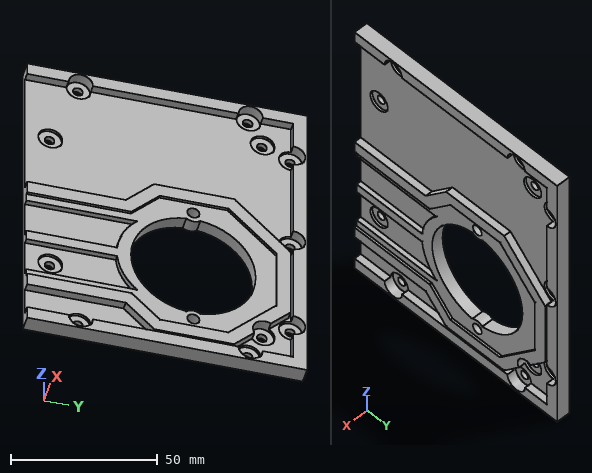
import math

import cadquery as cq

THICKNESS = 6.0
WIDTH = 99.0
HEIGHT = 120.0
WALL = 5.0
POCKET_FLOOR = 3.0
SEAT_FLOOR = 5.0

MOTOR_Y = WIDTH - 40.0
MOTOR_Z = 40.0
MOTOR_OPENING_DIAMETER = 44.0
MOTOR_SCREW_OFFSET = 25.0
MOTOR_SCREW_DIAMETER = 4.3
MOTOR_LUG_DIAMETER = 8.0

SEAT_APOTHEM = 29.2
HOUSING_APOTHEM = SEAT_APOTHEM + WALL
SEAT_CHANNEL_HALF_HEIGHT = 19.2
CHANNEL_HALF_HEIGHT = SEAT_CHANNEL_HALF_HEIGHT + WALL

SLOT_LEDGE = 3.0
RIB_WIDTH = 4.0
SLOT_END_RADIUS = MOTOR_OPENING_DIAMETER / 2
SLOT_END_CENTRE_Y = MOTOR_Y - WALL

SCREW_DIAMETER = 3.4
COUNTERBORE_DIAMETER = 8.5
COUNTERBORE_FLOOR = 2.0
TOP_Z = HEIGHT - WALL
LEFT_Y = WIDTH - WALL
FREE_SIDE_Y = 9.0
FREE_SIDE_UPPER_Z = 89.5
FREE_SIDE_LOWER_Z = HEIGHT - FREE_SIDE_UPPER_Z
PLATE_SCREWS = [
    (WIDTH - 20.0, TOP_Z),
    (WIDTH - 80.0, TOP_Z),
    (WIDTH - 15.0, 105.0),
    (LEFT_Y, 100.0),
    (LEFT_Y, 60.0),
    (LEFT_Y, 20.0),
    (WIDTH - 15.0, 15.0),
    (WIDTH - 20.0, WALL),
    (WIDTH - 80.0, WALL),
    (FREE_SIDE_Y, FREE_SIDE_UPPER_Z),
    (FREE_SIDE_Y, FREE_SIDE_LOWER_Z),
]
MOTOR_SCREWS = [
    (MOTOR_Y, MOTOR_Z - MOTOR_SCREW_OFFSET),
    (MOTOR_Y, MOTOR_Z + MOTOR_SCREW_OFFSET),
]


def block(x_range, y_range, z_range):
    """Axis-aligned box spanning the given ranges."""
    spans = (x_range, y_range, z_range)
    sizes = [end - start for start, end in spans]
    corner = cq.Vector(*[start for start, _ in spans])
    return cq.Workplane("XY").box(*sizes, centered=False).translate(corner)


def cylinders(points, diameter, x_start, x_end):
    """Cylinders along X at the given (y, z) points."""
    plane = cq.Workplane("YZ", origin=(x_start, 0, 0))
    return plane.pushPoints(points).circle(diameter / 2).extrude(x_end - x_start)


def motor_octagon(apothem, x_start):
    """Regular octagonal prism around the motor axis, running from x_start to the +X face."""
    eighth_turn = math.pi / 4
    radius = apothem / math.cos(eighth_turn / 2)
    angles = [eighth_turn * (index + 0.5) for index in range(8)]
    corners = [(radius * math.cos(angle), radius * math.sin(angle)) for angle in angles]
    plane = cq.Workplane("YZ", origin=(x_start, MOTOR_Y, MOTOR_Z))
    return plane.polyline(corners).close().extrude(THICKNESS - x_start)


def channel(half_height, x_start, x_end):
    """Straight passage from the -Y edge to the motor axis."""
    return block((x_start, x_end), (0, MOTOR_Y), (MOTOR_Z - half_height, MOTOR_Z + half_height))


def main_pocket():
    """Pocket inside the rim, open at the -Y edge, leaving the motor housing and channel standing."""
    pocket = block((POCKET_FLOOR, THICKNESS), (0, LEFT_Y), (WALL, TOP_Z))
    housing = motor_octagon(HOUSING_APOTHEM, POCKET_FLOOR)
    return pocket.cut(housing).cut(channel(CHANNEL_HALF_HEIGHT, POCKET_FLOOR, THICKNESS))


def motor_seat():
    """Shallow seat inside the housing and along the channel."""
    seat = motor_octagon(SEAT_APOTHEM, SEAT_FLOOR)
    return seat.union(channel(SEAT_CHANNEL_HALF_HEIGHT, SEAT_FLOOR, THICKNESS))


def channel_slots():
    """Pair of deep slots either side of the rib, ending on the rounded wall."""
    half_height = SEAT_CHANNEL_HALF_HEIGHT - SLOT_LEDGE
    z_range = (MOTOR_Z - half_height, MOTOR_Z + half_height)
    slots = block((POCKET_FLOOR, SEAT_FLOOR), (0, SLOT_END_CENTRE_Y), z_range)
    end_wall = cylinders([(SLOT_END_CENTRE_Y, MOTOR_Z)], 2 * SLOT_END_RADIUS, POCKET_FLOOR, SEAT_FLOOR)
    rib = channel(RIB_WIDTH / 2, POCKET_FLOOR, SEAT_FLOOR)
    return slots.cut(end_wall).cut(rib)


def motor_opening():
    """Round opening through the plate, notched by the lugs of the two motor screws."""
    opening = cylinders([(MOTOR_Y, MOTOR_Z)], MOTOR_OPENING_DIAMETER, 0, THICKNESS)
    return opening.cut(cylinders(MOTOR_SCREWS, MOTOR_LUG_DIAMETER, 0, SEAT_FLOOR))


plate = block((0, THICKNESS), (0, WIDTH), (0, HEIGHT))
plate = plate.cut(main_pocket())
plate = plate.cut(motor_seat())
plate = plate.cut(channel_slots())
plate = plate.cut(motor_opening())
plate = plate.cut(cylinders(MOTOR_SCREWS, MOTOR_SCREW_DIAMETER, 0, THICKNESS))
plate = plate.cut(cylinders(PLATE_SCREWS, SCREW_DIAMETER, 0, THICKNESS))
result = plate.cut(cylinders(PLATE_SCREWS, COUNTERBORE_DIAMETER, COUNTERBORE_FLOOR, THICKNESS))